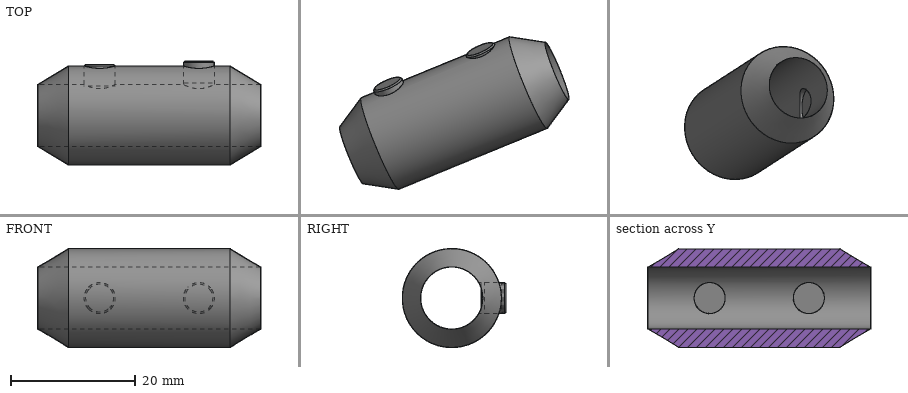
import cadquery as cq

sleeve_length = 36.0
sleeve_radius = 8.0
bore_radius = 5.0
taper_length = 5.0

screw_radius = 2.5
screw_chamfer = 0.25
screw_offset = 8.0
left_screw_top = 8.24
right_screw_top = 8.78
screw_length = 3.5

screw_places = [(-screw_offset, left_screw_top), (screw_offset, right_screw_top)]


def make_screw(x, top):
    """Set screw at x, running inward from its outer end, chamfered at that end."""
    return (
        cq.Workplane("XZ", origin=(x, top, 0))
        .circle(screw_radius)
        .extrude(screw_length)
        .faces(">Y")
        .chamfer(screw_chamfer)
    )


def make_screw_hole(x):
    """Radial hole from the sleeve axis out through the +Y wall."""
    return cq.Workplane("XZ", origin=(x, 0, 0)).circle(screw_radius).extrude(-sleeve_radius)


def make_sleeve():
    """Tapered tube with one radial hole for each set screw."""
    half_length = sleeve_length / 2
    shoulder = half_length - taper_length
    sleeve = (
        cq.Workplane("XY")
        .moveTo(-half_length, bore_radius)
        .lineTo(-shoulder, sleeve_radius)
        .lineTo(shoulder, sleeve_radius)
        .lineTo(half_length, bore_radius)
        .close()
        .revolve(360, (0, 0, 0), (1, 0, 0))
    )
    for x, _ in screw_places:
        sleeve = sleeve.cut(make_screw_hole(x))
    return sleeve


sleeve = make_sleeve()
screws = [make_screw(x, top) for x, top in screw_places]

result = cq.Compound.makeCompound([sleeve.val(), *[screw.val() for screw in screws]])